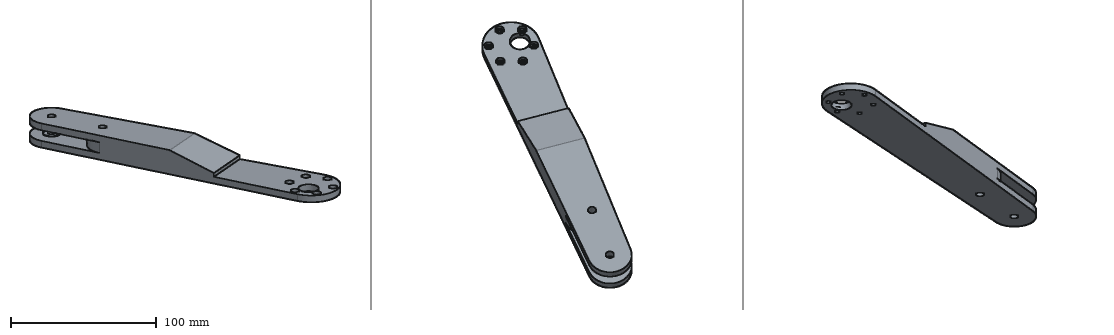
import cadquery as cq
import math

length = 231.7
width = 74.0
height = 18.0

fork_radius = 15.0
hub_radius = 20.0
fork_x = fork_radius
fork_y = width - fork_radius
hub_x = length - hub_radius
hub_y = hub_radius

plate_thickness = 5.0
gap_height = height - 2 * plate_thickness
spacer_setback = 45.5

slope_start = 100.5
slope_end = 135.3
step_height = 2.8

pin_diameter = 5.5
pin_spacing = 40.0
washer_diameter = 12.0
washer_thickness = 0.5
shaft_diameter = 14.0
shaft_offset = 7.0
screw_circle_radius = 15.5
screw_count = 6
screw_diameter = 3.2
counterbore_diameter = 6.0
counterbore_depth = 2.8

shaft_y = hub_y - shaft_offset
arm_span = math.hypot(hub_x - fork_x, hub_y - fork_y)
arm_angle = math.atan2(hub_y - fork_y, hub_x - fork_x)
shaft_line_angle = math.atan2(shaft_y - fork_y, hub_x - fork_x)
taper_angle = math.asin((hub_radius - fork_radius) / arm_span)


def polar(x, y, distance, angle):
    return (x + distance * math.cos(angle), y + distance * math.sin(angle))


def tapered_bar(x, y, radius, bottom, thickness):
    """Bar from a round end at (x, y) to the hub, with straight tangent sides."""
    upper = arm_angle + math.pi / 2 + taper_angle
    lower = arm_angle - math.pi / 2 - taper_angle
    return (
        cq.Workplane("XY", origin=(0, 0, bottom))
        .moveTo(*polar(x, y, radius, upper))
        .lineTo(*polar(hub_x, hub_y, hub_radius, upper))
        .threePointArc(
            polar(hub_x, hub_y, hub_radius, arm_angle),
            polar(hub_x, hub_y, hub_radius, lower),
        )
        .lineTo(*polar(x, y, radius, lower))
        .threePointArc(
            polar(x, y, radius, arm_angle + math.pi),
            polar(x, y, radius, upper),
        )
        .close()
        .extrude(thickness)
    )


def cylinder(center, diameter, bottom, depth):
    return (
        cq.Workplane("XY", origin=(*center, bottom))
        .circle(diameter / 2)
        .extrude(depth)
    )


def slope_cutter():
    """Space above the slope, the step and the thin hub plate."""
    far_end = 2 * length
    clear_height = 2 * height
    return (
        cq.Workplane("XZ")
        .moveTo(slope_start, height)
        .lineTo(slope_end, plate_thickness + step_height)
        .lineTo(slope_end, plate_thickness)
        .lineTo(far_end, plate_thickness)
        .lineTo(far_end, clear_height)
        .lineTo(slope_start, clear_height)
        .close()
        .extrude(width, both=True)
        .rotate((0, 0, 0), (0, 0, 1), math.degrees(shaft_line_angle))
        .translate((fork_x, fork_y, 0))
    )


fork_center = (fork_x, fork_y)
upper_plate_bottom = plate_thickness + gap_height
spacer_center = polar(*fork_center, spacer_setback, arm_angle)
spacer_radius = fork_radius + spacer_setback * math.sin(taper_angle)

arm = tapered_bar(*fork_center, fork_radius, 0, plate_thickness)
arm = arm.union(tapered_bar(*spacer_center, spacer_radius, plate_thickness, gap_height))
arm = arm.union(tapered_bar(*fork_center, fork_radius, upper_plate_bottom, plate_thickness))
arm = arm.cut(slope_cutter())

for washer_bottom in (plate_thickness, upper_plate_bottom - washer_thickness):
    arm = arm.union(cylinder(fork_center, washer_diameter, washer_bottom, washer_thickness))

for distance in (0, pin_spacing):
    pin_center = polar(*fork_center, distance, shaft_line_angle)
    arm = arm.cut(cylinder(pin_center, pin_diameter, 0, height))

arm = arm.cut(cylinder((hub_x, shaft_y), shaft_diameter, 0, plate_thickness))
for index in range(screw_count):
    screw_angle = index * 2 * math.pi / screw_count
    screw_center = polar(hub_x, hub_y, screw_circle_radius, screw_angle)
    counterbore_bottom = plate_thickness - counterbore_depth
    arm = arm.cut(cylinder(screw_center, screw_diameter, 0, plate_thickness))
    arm = arm.cut(cylinder(screw_center, counterbore_diameter, counterbore_bottom, counterbore_depth))

result = arm